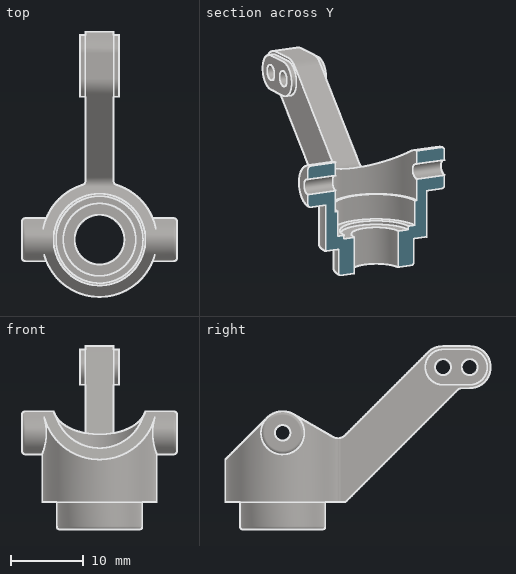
import cadquery as cq
import math


CUP_RADIUS = 15.75 / 2
CUP_BASE_Z = 3.75
STUB_RADIUS = 11.75 / 2
STUB_FILLET = 0.4

MOUTH_DIAMETER = 12.6
SEAT_DIAMETER = 11.95
RELIEF_DIAMETER = 9.95
THROUGH_DIAMETER = 6.8
SEAT_DEPTH = 3.5
RELIEF_DEPTH = 0.5
SEAT_FLOOR_Z = 5.7
SEAT_TOP_Z = SEAT_FLOOR_Z + SEAT_DEPTH
RELIEF_FLOOR_Z = SEAT_FLOOR_Z - RELIEF_DEPTH

TRUNNION_SPAN = 21.3
TRUNNION_RADIUS = 5.95 / 2
TRUNNION_Z = 13.27
TRUNNION_FILLET = 0.5
TRUNNION_HOLE_DIAMETER = 2.1

OVERALL_LENGTH = 36.42
OVERALL_HEIGHT = 25.18
ARM_THICKNESS = 3.9
ARM_END_RADIUS = 2.9
ARM_HOLE_DIAMETER = 2.15
ARM_HOLE_SPACING = 3.65
ARM_HOLE_Z = OVERALL_HEIGHT - ARM_END_RADIUS
OUTER_HOLE_Y = OVERALL_LENGTH - CUP_RADIUS - ARM_END_RADIUS
INNER_HOLE_Y = OUTER_HOLE_Y - ARM_HOLE_SPACING
ARM_HEEL_Y = 8.6
PAD_RADIUS = 2.43
PAD_SPAN = 5.4

FRONT_SLOPE = math.radians(45)
REAR_SLOPE = math.radians(30)
ARM_SLOPE = math.radians(45)
ARM_ROOT_TOP_FILLET = 1.4
ARM_UNDERSIDE_FILLET = 1.0
ARM_ROOT_SIDE_FILLET = 0.5


def point_on_circle(center_y, center_z, radius, angle):
    """Point in the YZ plane, with the angle measured from +Y towards +Z."""
    return (center_y + radius * math.cos(angle), center_z + radius * math.sin(angle))


def prism_across_x(outline, width):
    """Extrude a closed YZ outline symmetrically about X = 0."""
    return outline.extrude(width / 2, both=True)


def cylinder_z(diameter, bottom_z, top_z):
    return cq.Workplane("XY").workplane(offset=bottom_z).circle(diameter / 2).extrude(top_z - bottom_z)


def make_side_prism():
    """Side outline shared by the cup and the arm, extruded across the cup.

    Both rim slopes end where they touch the trunnion circle. The chord between
    these points lies inside the trunnions, which form the rounded crests.
    """
    up = math.pi / 2
    rim_front = point_on_circle(0, TRUNNION_Z, TRUNNION_RADIUS, up + FRONT_SLOPE)
    rim_rear = point_on_circle(0, TRUNNION_Z, TRUNNION_RADIUS, up - REAR_SLOPE)
    front_corner_z = rim_front[1] - (CUP_RADIUS + rim_front[0]) * math.tan(FRONT_SLOPE)

    arm_shoulder = point_on_circle(INNER_HOLE_Y, ARM_HOLE_Z, ARM_END_RADIUS, up + ARM_SLOPE)
    arm_shoulder_mid = point_on_circle(INNER_HOLE_Y, ARM_HOLE_Z, ARM_END_RADIUS, up + ARM_SLOPE / 2)

    fall = math.tan(REAR_SLOPE)
    rise = math.tan(ARM_SLOPE)
    root_y = (rim_rear[1] - arm_shoulder[1] + fall * rim_rear[0] + rise * arm_shoulder[0]) / (fall + rise)
    root_z = rim_rear[1] - fall * (root_y - rim_rear[0])

    end_bottom_z = ARM_HOLE_Z - ARM_END_RADIUS
    underside_y = ARM_HEEL_Y + (end_bottom_z - CUP_BASE_Z) / rise

    outline = (
        cq.Workplane("YZ")
        .moveTo(-CUP_RADIUS, CUP_BASE_Z)
        .lineTo(-CUP_RADIUS, front_corner_z)
        .lineTo(*rim_front)
        .lineTo(*rim_rear)
        .lineTo(root_y, root_z)
        .lineTo(*arm_shoulder)
        .threePointArc(arm_shoulder_mid, (INNER_HOLE_Y, OVERALL_HEIGHT))
        .lineTo(OUTER_HOLE_Y, OVERALL_HEIGHT)
        .threePointArc((OUTER_HOLE_Y + ARM_END_RADIUS, ARM_HOLE_Z), (OUTER_HOLE_Y, end_bottom_z))
        .lineTo(underside_y, end_bottom_z)
        .lineTo(ARM_HEEL_Y, CUP_BASE_Z)
        .close()
    )
    prism = prism_across_x(outline, 2 * CUP_RADIUS)
    root_edge = cq.selectors.NearestToPointSelector((0, root_y, root_z))
    underside_edge = cq.selectors.NearestToPointSelector((0, underside_y, end_bottom_z))
    prism = prism.edges("|X").edges(root_edge).fillet(ARM_ROOT_TOP_FILLET)
    return prism.edges("|X").edges(underside_edge).fillet(ARM_UNDERSIDE_FILLET)


def make_plan_prism():
    """Plan outline of the cup and the arm, with the arm blended into the cup."""
    arm_length = OVERALL_LENGTH - CUP_RADIUS
    arm = cq.Workplane("XY").box(
        ARM_THICKNESS, arm_length, OVERALL_HEIGHT, centered=(True, False, False)
    )
    prism = cylinder_z(2 * CUP_RADIUS, 0, OVERALL_HEIGHT).union(arm)
    half_thickness = ARM_THICKNESS / 2
    joint_y = math.sqrt(CUP_RADIUS**2 - half_thickness**2)
    for joint_x in (-half_thickness, half_thickness):
        joint = cq.selectors.NearestToPointSelector((joint_x, joint_y, OVERALL_HEIGHT / 2))
        prism = prism.edges("|Z").edges(joint).fillet(ARM_ROOT_SIDE_FILLET)
    return prism


def make_stub():
    return cylinder_z(2 * STUB_RADIUS, 0, SEAT_FLOOR_Z).faces("<Z").edges().fillet(STUB_FILLET)


def make_trunnions():
    outline = cq.Workplane("YZ").center(0, TRUNNION_Z).circle(TRUNNION_RADIUS)
    return prism_across_x(outline, TRUNNION_SPAN).faces("<X or >X").edges().fillet(TRUNNION_FILLET)


def make_pads():
    """Raised pads around the two holes on both sides of the arm."""
    middle_y = (INNER_HOLE_Y + OUTER_HOLE_Y) / 2
    outline = (
        cq.Workplane("YZ")
        .center(middle_y, ARM_HOLE_Z)
        .slot2D(ARM_HOLE_SPACING + 2 * PAD_RADIUS, 2 * PAD_RADIUS)
    )
    return prism_across_x(outline, PAD_SPAN)


def make_bore():
    return (
        cylinder_z(MOUTH_DIAMETER, SEAT_TOP_Z, OVERALL_HEIGHT)
        .union(cylinder_z(SEAT_DIAMETER, SEAT_FLOOR_Z, SEAT_TOP_Z))
        .union(cylinder_z(RELIEF_DIAMETER, RELIEF_FLOOR_Z, SEAT_FLOOR_Z))
        .union(cylinder_z(THROUGH_DIAMETER, 0, RELIEF_FLOOR_Z))
    )


def make_cross_hole(y, z, diameter):
    """Hole along X through the full width of the part."""
    return prism_across_x(cq.Workplane("YZ").center(y, z).circle(diameter / 2), TRUNNION_SPAN)


body = make_side_prism().intersect(make_plan_prism())
body = body.union(make_stub()).union(make_trunnions()).union(make_pads())
body = body.cut(make_bore())
body = body.cut(make_cross_hole(0, TRUNNION_Z, TRUNNION_HOLE_DIAMETER))
for hole_y in (INNER_HOLE_Y, OUTER_HOLE_Y):
    body = body.cut(make_cross_hole(hole_y, ARM_HOLE_Z, ARM_HOLE_DIAMETER))

result = body